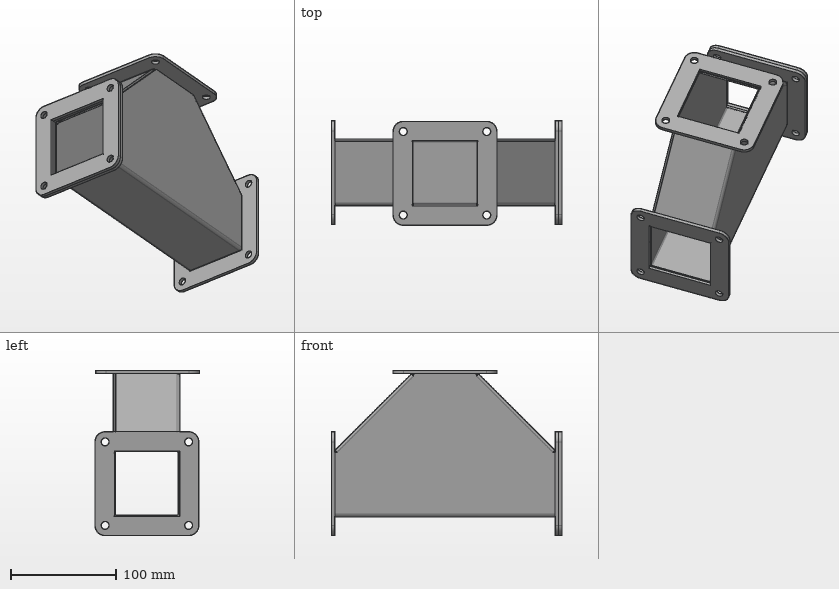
import cadquery as cq
import math

overall_length = 219.0
overall_height = 157.0
flange_side = 98.8
flange_thickness = 3.3
flange_corner_radius = 9.9
window_side = 62.0
bolt_spacing = 79.3
bolt_hole_diameter = 7.2
top_flange_shift = -0.9
end_flange_shift = -0.2
duct_side = 63.5
sheet_thickness = 2.0
bend_inner_radius = 0.9
seam_gap = 0.2

bend_outer_radius = bend_inner_radius + sheet_thickness
half_duct = duct_side / 2
duct_length = overall_length - 3 * flange_thickness
half_length = duct_length / 2
axis_height = flange_side / 2
floor_height = axis_height - half_duct
roof_start_height = axis_height + half_duct
duct_top = overall_height - flange_thickness
roof_run = half_length - half_duct
roof_rise = duct_top - roof_start_height
roof_length = math.hypot(roof_run, roof_rise)
roof_angle = math.atan2(roof_rise, roof_run)


def make_flange():
    """Square plate with rounded corners, a square window and four bolt holes, base at Z = 0."""
    plate = cq.Workplane("XY").rect(flange_side, flange_side).extrude(flange_thickness)
    return (
        plate.edges("|Z").fillet(flange_corner_radius)
        .faces(">Z").workplane()
        .rect(window_side, window_side).cutThruAll()
        .faces(">Z").workplane()
        .rect(bolt_spacing, bolt_spacing, forConstruction=True).vertices()
        .hole(bolt_hole_diameter)
    )


def make_end_flange(start_x):
    """Flange standing across the X axis, from start_x towards +X."""
    upright = make_flange().rotate((0, 0, 0), (0, 1, 0), 90)
    return upright.translate((start_x, end_flange_shift, axis_height))


def make_top_flange():
    return make_flange().translate((0, top_flange_shift, duct_top))


def extrude_outline(points, depth):
    """Prism over an XZ half outline and its mirror image, reaching depth from Y = 0 (positive is -Y)."""
    mirrored = [(-x, z) for x, z in reversed(points)]
    return cq.Workplane("XZ").polyline(points + mirrored).close().extrude(depth)


def make_front_wall_trim():
    """Outline of the front wall, whose sloping edges follow the inner ends of the roof bends."""
    bend_end_x = bend_outer_radius * math.sin(roof_angle)
    bend_end_z = bend_outer_radius * math.cos(roof_angle)
    points = [
        (-half_length, floor_height),
        (-half_length, roof_start_height - bend_end_z),
        (-half_length + bend_end_x, roof_start_height - bend_end_z),
        (-half_duct + bend_end_x, duct_top - bend_end_z),
        (-half_duct + bend_end_x, duct_top),
    ]
    return extrude_outline(points, half_duct)


def make_rear_wall_trim():
    """Outline of the rear wall, whose sloping edges lie level with the inner faces of the roof sheets."""
    points = [
        (-half_length, floor_height),
        (-half_length, roof_start_height - sheet_thickness / math.cos(roof_angle)),
        (-half_duct + sheet_thickness / math.sin(roof_angle), duct_top),
    ]
    return extrude_outline(points, -half_duct)


def make_trough():
    """Floor with its two side walls, bent from one sheet."""
    channel_height = duct_top - floor_height
    outside = (
        cq.Workplane("XY", origin=(0, 0, floor_height))
        .box(duct_length, duct_side, channel_height, centered=(True, True, False))
        .edges("|X and <Z").fillet(bend_outer_radius)
    )
    inside = (
        cq.Workplane("XY", origin=(0, 0, floor_height + sheet_thickness))
        .box(duct_length, duct_side - 2 * sheet_thickness, channel_height, centered=(True, True, False))
        .edges("|X and <Z").fillet(bend_inner_radius)
    )
    trim = make_front_wall_trim().union(make_rear_wall_trim())
    return outside.cut(inside).intersect(trim)


def make_roof():
    """Sloping roof sheet on the -X side with the bend that joins it to the front wall."""
    seam_y = half_duct - sheet_thickness - seam_gap
    bend_y = bend_outer_radius - half_duct
    bend_diagonal = math.sqrt(0.5)
    section = (
        cq.Workplane("YZ")
        .moveTo(-half_duct, -bend_outer_radius)
        .threePointArc(
            (bend_y - bend_outer_radius * bend_diagonal, bend_outer_radius * (bend_diagonal - 1)),
            (bend_y, 0),
        )
        .lineTo(seam_y, 0)
        .lineTo(seam_y, -sheet_thickness)
        .lineTo(bend_y, -sheet_thickness)
        .threePointArc(
            (bend_y - bend_inner_radius * bend_diagonal, bend_inner_radius * bend_diagonal - bend_outer_radius),
            (bend_y - bend_inner_radius, -bend_outer_radius),
        )
        .close()
    )
    sheet = section.extrude(roof_length).rotate((0, 0, 0), (0, 1, 0), -math.degrees(roof_angle))
    return sheet.translate((-half_length, 0, roof_start_height))


def make_duct():
    left_roof = make_roof()
    right_roof = left_roof.mirror("YZ")
    return make_trough().union(left_roof).union(right_roof)


duct = make_duct()
top_flange = make_top_flange()
end_flange_starts = [
    -half_length - flange_thickness,
    half_length,
    half_length + flange_thickness,
]
end_flanges = [make_end_flange(start_x) for start_x in end_flange_starts]

result = cq.Compound.makeCompound(
    [duct.val(), top_flange.val(), *[flange.val() for flange in end_flanges]]
)